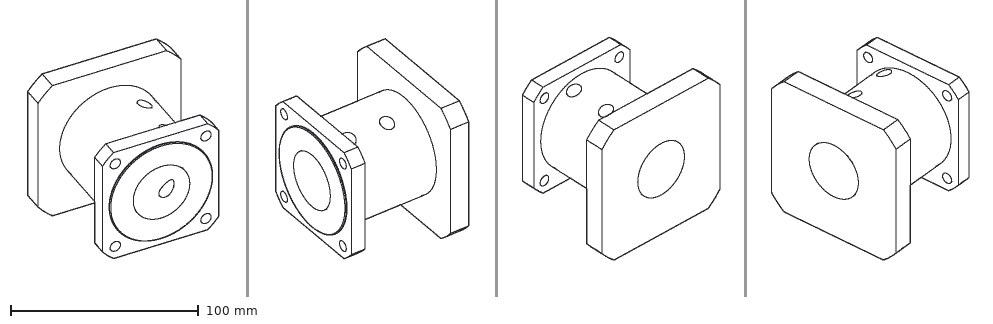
import cadquery as cq
import math

total_length = 72.0
large_flange_thickness = 12.0
small_flange_thickness = 9.0
spigot_length = 1.0
small_flange_start = total_length - spigot_length - small_flange_thickness

large_flange_side = 86.0
large_flange_corner_diameter = 110.0
small_flange_side = 70.0
small_flange_corner_diameter = 90.0

barrel_diameter = 60.0
bore_diameter = 34.0
spigot_diameter = 62.0
spigot_chamfer = 0.5

bolt_hole_diameter = 6.2
bolt_circle_diameter = 77.0
bolt_count = 4
first_bolt_angle = 45.0

cross_hole_diameter = 8.0
cross_hole_offset = 11.25
first_cross_hole_x = 31.0
cross_hole_spacing = 25.0
cross_hole_count = 2


def cylinder_along_x(diameter, start, length):
    return cq.Workplane("YZ", origin=(start, 0, 0)).circle(diameter / 2).extrude(length)


def flange(side, corner_diameter, start, thickness):
    """Square plate with its four corners rounded to a circle about the X axis."""
    plate = cq.Workplane("YZ", origin=(start, 0, 0)).rect(side, side).extrude(thickness)
    return plate.intersect(cylinder_along_x(corner_diameter, start, thickness))


def spigot():
    """Shallow locating disc, chamfered at its free end."""
    disc = cylinder_along_x(spigot_diameter, small_flange_start, small_flange_thickness + spigot_length)
    return disc.faces(">X").chamfer(spigot_chamfer)


def bolt_holes():
    radius = bolt_circle_diameter / 2
    points = []
    for index in range(bolt_count):
        angle = math.radians(first_bolt_angle + index * 360.0 / bolt_count)
        points.append((radius * math.cos(angle), radius * math.sin(angle)))
    plane = cq.Workplane("YZ", origin=(small_flange_start, 0, 0))
    return plane.pushPoints(points).circle(bolt_hole_diameter / 2).extrude(small_flange_thickness)


def cross_holes():
    points = [
        (first_cross_hole_x + index * cross_hole_spacing, cross_hole_offset)
        for index in range(cross_hole_count)
    ]
    plane = cq.Workplane("XY")
    return plane.pushPoints(points).circle(cross_hole_diameter / 2).extrude(barrel_diameter / 2, both=True)


result = (
    flange(large_flange_side, large_flange_corner_diameter, 0, large_flange_thickness)
    .union(cylinder_along_x(barrel_diameter, 0, total_length - spigot_length))
    .union(flange(small_flange_side, small_flange_corner_diameter, small_flange_start, small_flange_thickness))
    .union(spigot())
    .cut(cylinder_along_x(bore_diameter, 0, total_length))
    .cut(bolt_holes())
    .cut(cross_holes())
)